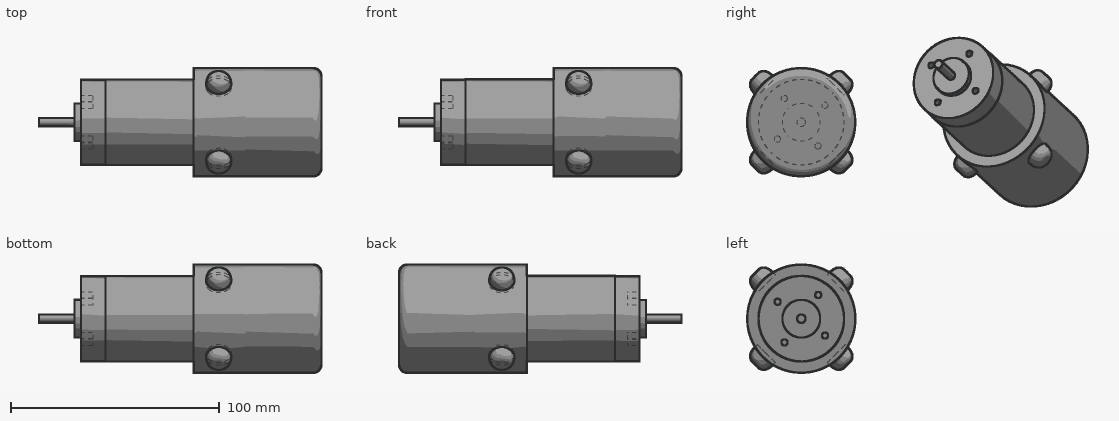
import cadquery as cq

overall_length = 135.4
shaft_radius = 2.0
boss_start = 16.9
boss_radius = 9.1
gearbox_start = 20.0
gearbox_cover_end = 32.0
gearbox_cover_radius = 20.5
gearbox_radius = 20.6
flange_start = 74.0
brush_ring_start = 76.0
rear_cover_start = 99.0
motor_radius = 26.0
rear_fillet = 4

mount_hole_count = 4
mount_hole_radius = 1.5
mount_circle_radius = 14.0
mount_first_angle = 35.5
mount_hole_depth = 6.0

brush_cap_count = 4
brush_cap_first_angle = 45
brush_cap_x = 86.1
brush_cap_floor = 23.7
brush_cap_radius = 6.1
brush_cap_shoulder_radius = 5.3
brush_cap_shoulder_height = 29.2
brush_cap_flat_radius = 2.7
brush_cap_top = 31.1


def cylinder_along_x(start, end, radius):
    """Solid cylinder on the motor axis."""
    return cq.Workplane("YZ", origin=(start, 0, 0)).circle(radius).extrude(end - start)


def make_brush_cap(angle):
    """Round cap with a domed shoulder, its axis radial at an angle from +Y towards +Z."""
    cap = (
        cq.Workplane("XZ", origin=(brush_cap_x, 0, 0))
        .moveTo(0, brush_cap_floor)
        .lineTo(brush_cap_radius, brush_cap_floor)
        .lineTo(brush_cap_radius, motor_radius)
        .tangentArcPoint((brush_cap_shoulder_radius, brush_cap_shoulder_height), relative=False)
        .tangentArcPoint((brush_cap_flat_radius, brush_cap_top), relative=False)
        .lineTo(0, brush_cap_top)
        .close()
        .revolve(360, (0, 0, 0), (0, 1, 0))
    )
    return cap.rotate((0, 0, 0), (1, 0, 0), angle - 90)


def make_mount_holes():
    """Cutters for the blind holes in the gearbox face."""
    return (
        cq.Workplane("YZ", origin=(gearbox_start, 0, 0))
        .polarArray(mount_circle_radius, mount_first_angle, 360, mount_hole_count)
        .circle(mount_hole_radius)
        .extrude(mount_hole_depth)
    )


def make_motor(brush_caps):
    """Shaft, gearbox and motor housing in one piece, with a recess for each brush cap."""
    rear_cover = cylinder_along_x(rear_cover_start, overall_length, motor_radius)
    motor = rear_cover.faces(">X").edges().fillet(rear_fillet)
    sections = [
        (brush_ring_start, rear_cover_start, motor_radius),
        (flange_start, brush_ring_start, motor_radius),
        (gearbox_cover_end, flange_start, gearbox_radius),
        (gearbox_start, gearbox_cover_end, gearbox_cover_radius),
        (boss_start, gearbox_start, boss_radius),
        (0, boss_start, shaft_radius),
    ]
    for start, end, radius in sections:
        motor = motor.union(cylinder_along_x(start, end, radius), clean=False)
    motor = motor.cut(make_mount_holes(), clean=False)
    for cap in brush_caps:
        motor = motor.cut(cap, clean=False)
    return motor


cap_angles = [brush_cap_first_angle + i * 360 / brush_cap_count for i in range(brush_cap_count)]
brush_caps = [make_brush_cap(angle) for angle in cap_angles]
motor = make_motor(brush_caps)

result = cq.Compound.makeCompound([motor.val(), *[cap.val() for cap in brush_caps]])